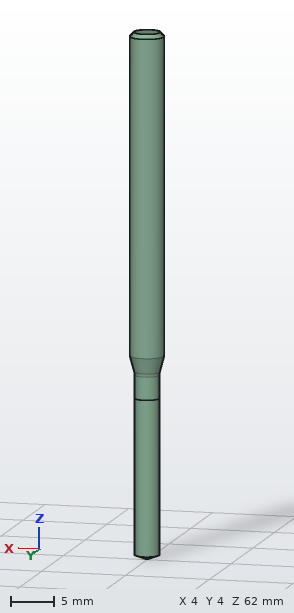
import cadquery as cq
import math

total_length = 62.0
shank_diameter = 4.0
neck_diameter = 2.9

point_height = 0.55
joint_height = 19.0
shoulder_height = 24.0

chamfer_width = 0.5
chamfer_height = 0.5
taper_half_angle = math.radians(15)
blend_radius = 1.4

shank_radius = shank_diameter / 2
neck_radius = neck_diameter / 2
taper_length = (shank_radius - neck_radius) / math.tan(taper_half_angle)
taper_foot_height = shoulder_height - taper_length


def revolve_about_z(profile):
    """Revolve a closed (radius, height) profile about the Z axis."""
    return profile.close().revolve(360, (0, 0, 0), (0, 1, 0))


def make_shank():
    """Chamfered shank, tapering through a concave blend into a short neck."""
    tangent_length = blend_radius * math.tan(taper_half_angle / 2)
    blend_center_radius = neck_radius + blend_radius
    blend_start_height = taper_foot_height - tangent_length
    blend_middle = (
        blend_center_radius - blend_radius * math.cos(taper_half_angle / 2),
        blend_start_height + blend_radius * math.sin(taper_half_angle / 2),
    )
    blend_end = (
        blend_center_radius - blend_radius * math.cos(taper_half_angle),
        blend_start_height + blend_radius * math.sin(taper_half_angle),
    )
    profile = (
        cq.Workplane("XZ")
        .moveTo(0, joint_height)
        .lineTo(neck_radius, joint_height)
        .lineTo(neck_radius, blend_start_height)
        .threePointArc(blend_middle, blend_end)
        .lineTo(shank_radius, shoulder_height)
        .lineTo(shank_radius, total_length - chamfer_height)
        .lineTo(shank_radius - chamfer_width, total_length)
        .lineTo(0, total_length)
    )
    return revolve_about_z(profile)


def make_drill_bit():
    """Plain cylindrical bit with a shallow conical point, butted to the neck."""
    profile = (
        cq.Workplane("XZ")
        .moveTo(0, 0)
        .lineTo(neck_radius, point_height)
        .lineTo(neck_radius, joint_height)
        .lineTo(0, joint_height)
    )
    return revolve_about_z(profile)


shank = make_shank()
drill_bit = make_drill_bit()

result = cq.Compound.makeCompound([shank.val(), drill_bit.val()])